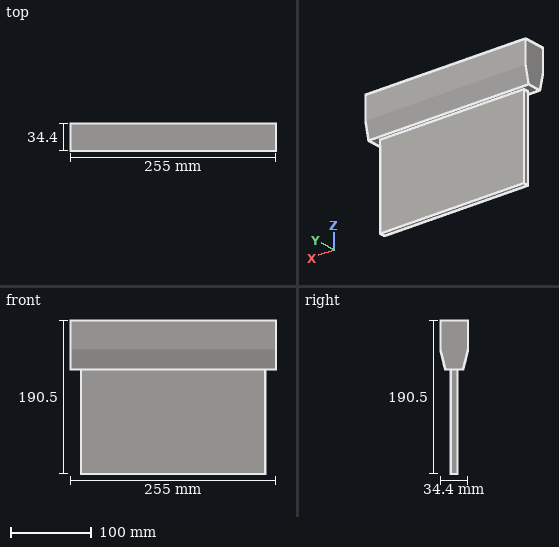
import cadquery as cq

head_length = 255.0
head_width = 34.4
head_bottom_width = 22.4
straight_height = 36.5
taper_height = 24.5

overall_height = 190.5
plate_length = 228.6
plate_thickness = 8.6

head_height = straight_height + taper_height
plate_height = overall_height - head_height


def make_head():
    """Bar along X with its flat underside at Z = 0."""
    half_top = head_width / 2
    half_bottom = head_bottom_width / 2
    profile = [
        (-half_bottom, 0),
        (half_bottom, 0),
        (half_top, taper_height),
        (half_top, head_height),
        (-half_top, head_height),
        (-half_top, taper_height),
    ]
    return cq.Workplane("YZ").polyline(profile).close().extrude(head_length / 2, both=True)


def make_plate():
    """Upright plate whose top edge meets the underside of the head."""
    return cq.Workplane("XY").rect(plate_length, plate_thickness).extrude(-plate_height)


result = make_head().union(make_plate())